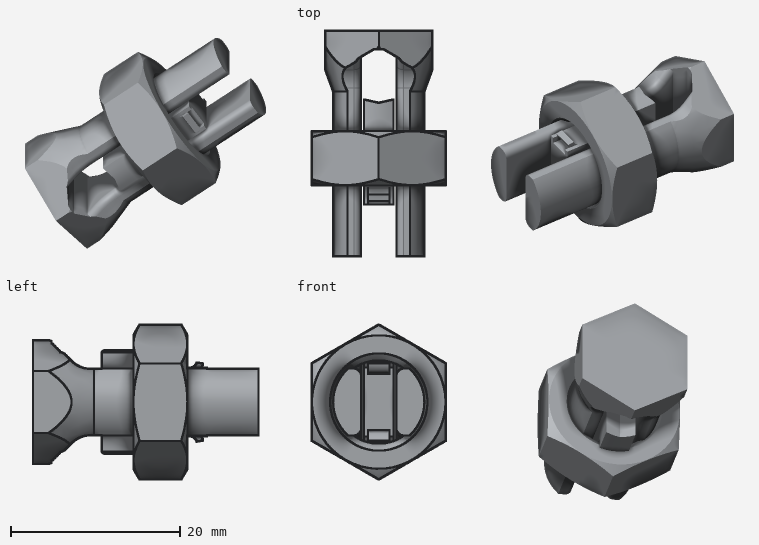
import cadquery as cq
import math


bolt_length = 26.67
leg_radius = 5.4
leg_flat = 3.95
slot_width = 4.15
slot_end = 24.45
slot_end_half = 0.6
slot_end_angle = 30.0
edge_fillet = 0.85
ramp_radius = 3.01
ramp_angle = 45.0
ramp_start = 19.92
head_flats = 12.7
cone_start = 19.47
cone_angle = 20.0

nut_flats = 15.87
nut_front = 8.4
nut_thickness = 6.4
nut_face_radius = 7.9
nut_chamfer_angle = 30.0
bore_radius = 4.93
bore_mouth_radius = 5.75
bore_chamfer_angle = 45.0

bar_half_width = 1.75
bar_front = 6.1
bar_end = 18.55
bar_end_notch = 18.15
bar_head_radius = 6.13
bar_neck_half = 4.7
bar_nose_half = 4.08
tab_half_width = 1.28
tab_thickness = 0.77
tab_root = 8.05
tab_bend_radius = 0.75
tab_bend_angle = 80.0

slot_half = slot_width / 2
nut_back = nut_front + nut_thickness
nut_middle = nut_front + nut_thickness / 2


def hexagon(across_flats, start, length):
    """Hexagonal prism along +Y with corners at the top and bottom."""
    corner_diameter = across_flats / math.cos(math.pi / 6)
    outline = cq.Workplane("XZ", origin=(0, start, 0)).transformed(rotate=(0, 0, 90))
    return outline.polygon(6, corner_diameter).extrude(-length)


def turned(points):
    """Solid of revolution about the Y axis from (radius, y) points."""
    return cq.Workplane("XY").polyline(points).close().revolve(360, (0, 0, 0), (0, 1, 0))


def cylinder(radius, start, end):
    """Round bar about the Y axis."""
    return turned([(0, start), (radius, start), (radius, end), (0, end)])


def block(half_width, half_height, start, end):
    """Rectangular bar along Y, centred on the axis."""
    size = (2 * half_width, end - start, 2 * half_height)
    return cq.Workplane("XY").box(*size).translate((0, (start + end) / 2, 0))


def flared_blank():
    """Round leg stock that flares as a cone into the hexagonal head."""
    cone_radius = leg_radius + (bolt_length - cone_start) * math.tan(math.radians(cone_angle))
    cone = turned([(0, cone_start), (leg_radius, cone_start), (cone_radius, bolt_length), (0, bolt_length)])
    head = cone.intersect(hexagon(head_flats, cone_start, bolt_length - cone_start))
    return head.union(cylinder(leg_radius, 0, cone_start))


def side_profile():
    """Flats, curves and ramps that limit the bolt above and below, extruded across its width."""
    angle = math.radians(ramp_angle)

    def curve_point(turn):
        return (ramp_start + ramp_radius * math.sin(turn), leg_flat + ramp_radius * (1 - math.cos(turn)))

    curve_end = curve_point(angle)
    ramp_top = curve_end[1] + (bolt_length - curve_end[0]) * math.tan(angle)
    upper_half = (
        cq.Workplane("YZ")
        .lineTo(0, leg_flat)
        .lineTo(ramp_start, leg_flat)
        .threePointArc(curve_point(angle / 2), curve_end)
        .lineTo(bolt_length, ramp_top)
        .lineTo(bolt_length, 0)
        .close()
        .extrude(head_flats, both=True)
    )
    return upper_half.union(upper_half.mirror("XY"))


def slot_cutter():
    """Wire slot between the legs, narrowing to a flat end inside the head."""
    wall_end = slot_end - (slot_half - slot_end_half) * math.tan(math.radians(slot_end_angle))
    outline = [
        (-slot_half, 0), (-slot_half, wall_end), (-slot_end_half, slot_end),
        (slot_end_half, slot_end), (slot_half, wall_end), (slot_half, 0),
    ]
    return cq.Workplane("XY").polyline(outline).close().extrude(head_flats, both=True)


def make_bolt():
    bolt = flared_blank().intersect(side_profile()).cut(slot_cutter())
    for side in (-1, 1):
        for level in (-1, 1):
            edge_point = (side * slot_half, ramp_start / 2, level * leg_flat)
            bolt = bolt.edges(cq.NearestToPointSelector(edge_point)).fillet(edge_fillet)
    return bolt


def make_nut(bolt):
    """Chamfered hexagon nut whose bore is cut to fit the bolt legs."""
    corner_radius = nut_flats / 2 / math.cos(math.pi / 6)
    chamfer = (corner_radius - nut_face_radius) * math.tan(math.radians(nut_chamfer_angle))
    envelope = turned([
        (0, nut_front), (nut_face_radius, nut_front), (corner_radius, nut_front + chamfer),
        (corner_radius, nut_back - chamfer), (nut_face_radius, nut_back), (0, nut_back),
    ])
    mouth = (bore_mouth_radius - bore_radius) / math.tan(math.radians(bore_chamfer_angle))
    bore = turned([
        (0, nut_front), (bore_mouth_radius, nut_front), (bore_radius, nut_front + mouth),
        (bore_radius, nut_back - mouth), (bore_mouth_radius, nut_back), (0, nut_back),
    ])
    return hexagon(nut_flats, nut_front, nut_thickness).intersect(envelope).cut(bore).cut(bolt)


def tab_recess():
    """Recess in the top of the bar nose, open at its front end, where the tab stands."""
    floor = bar_nose_half - tab_thickness
    return (
        cq.Workplane("XY")
        .box(2 * tab_half_width, tab_root - bar_front, tab_thickness, centered=(True, False, False))
        .translate((0, bar_front, floor))
    )


def bent_tab():
    """Strip of the bar bent up and forward about an axis above its root."""
    inner_radius = tab_bend_radius
    bend_center = bar_nose_half + inner_radius
    outer_radius = inner_radius + tab_thickness

    def bend_point(radius, degrees):
        turn = math.radians(degrees)
        return (tab_root - radius * math.sin(turn), bend_center - radius * math.cos(turn))

    return (
        cq.Workplane("YZ")
        .moveTo(*bend_point(inner_radius, 0))
        .threePointArc(bend_point(inner_radius, tab_bend_angle / 2), bend_point(inner_radius, tab_bend_angle))
        .lineTo(*bend_point(outer_radius, tab_bend_angle))
        .threePointArc(bend_point(outer_radius, tab_bend_angle / 2), bend_point(outer_radius, 0))
        .close()
        .extrude(tab_half_width, both=True)
    )


def make_pressure_bar():
    """Bar that slides in the slot: crowned head, neck in the nut and a nose with two bent tabs."""
    nose = block(bar_half_width, bar_nose_half, bar_front, nut_middle)
    neck = block(bar_half_width, bar_neck_half, nut_middle, nut_back)
    neck = neck.intersect(cylinder(bore_radius, nut_middle, nut_back))
    head = block(bar_half_width, bar_head_radius, nut_back, bar_end)
    head = head.intersect(cylinder(bar_head_radius, nut_back, bar_end))
    end_notch = (
        cq.Workplane("XY")
        .polyline([(-bar_half_width, bar_end), (0, bar_end_notch), (bar_half_width, bar_end)])
        .close()
        .extrude(bar_head_radius, both=True)
    )
    bar = nose.union(neck).union(head.cut(end_notch))

    recess = tab_recess()
    tab = bent_tab()
    bar = bar.cut(recess).cut(recess.mirror("XY"))
    return bar.union(tab).union(tab.mirror("XY"))


bolt = make_bolt()
nut = make_nut(bolt)
pressure_bar = make_pressure_bar()

result = cq.Compound.makeCompound([bolt.val(), nut.val(), pressure_bar.val()])